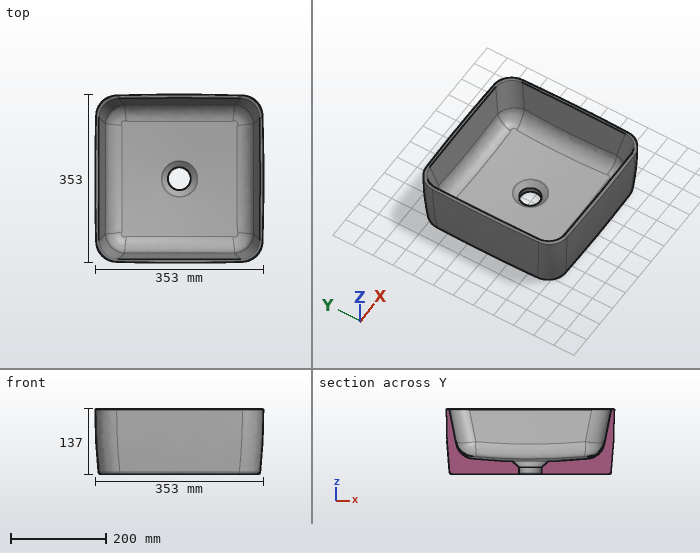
import cadquery as cq
import math

side_length = 353.0
height = 137.0

half_rim = side_length / 2
middle_inset = 1.8
base_inset = 7.5
half_middle = half_rim - middle_inset
half_base = half_rim - base_inset
side_bow_radius = 4234.8
outer_corner_radius = 44.0
base_edge_radius = 6.5

rim_width = 7.0
wall_slope = 0.2
basin_corner_radius = 41.0
basin_bow_radius = 8822.5
floor_center_height = 27.0
floor_edge_rise = 5.5
floor_edge_distance = 120.0
floor_blend_radius = 38.8
rim_outer_edge_radius = 2.8
rim_inner_edge_radius = 2.0

drain_seat_radius = 37.5
floor_rise_at_seat = floor_edge_rise * (drain_seat_radius / floor_edge_distance) ** 2
drain_seat_edge_radius = 1.5
drain_outlet_edge_radius = 3.5
drain_hole_radius = 23.5
drain_seat_base_height = 15.0
drain_seat_top_height = floor_center_height + floor_rise_at_seat
drain_seat_clearance = 7.0


def bowed_square(workplane, half_size, bow_radius, corner_radius):
    """Closed square of four outward-bowed arcs joined by tangent corner arcs."""
    bow_offset = bow_radius - half_size
    center_gap = bow_radius - corner_radius
    corner_center = (math.sqrt(2 * center_gap**2 - bow_offset**2) - bow_offset) / 2
    tangent_angle = math.asin(corner_center / center_gap)
    tangent_x = bow_radius * math.cos(tangent_angle) - bow_offset
    tangent_y = bow_radius * math.sin(tangent_angle)
    corner_mid = corner_center + corner_radius / math.sqrt(2)

    def turned(point, quarter_turns):
        x, y = point
        for _ in range(quarter_turns):
            x, y = -y, x
        return (x, y)

    outline = workplane.moveTo(tangent_x, -tangent_y)
    for quarter in range(4):
        outline = outline.threePointArc(
            turned((half_size, 0), quarter), turned((tangent_x, tangent_y), quarter)
        )
        outline = outline.threePointArc(
            turned((corner_mid, corner_mid), quarter), turned((tangent_y, tangent_x), quarter)
        )
    return outline.close()


def outer_shell():
    """Smooth loft through base, mid-height and rim outlines, rounded along the base."""
    base = bowed_square(cq.Workplane("XY"), half_base, side_bow_radius, outer_corner_radius)
    middle = bowed_square(
        base.workplane(offset=height / 2), half_middle, side_bow_radius, outer_corner_radius
    )
    rim = bowed_square(
        middle.workplane(offset=height / 2), half_rim, side_bow_radius, outer_corner_radius
    )
    return rim.loft(combine=True).faces("<Z").edges().fillet(base_edge_radius)


def basin():
    """Solid filling the basin: sloped walls blended into a shallow spherical floor."""
    half_opening = half_rim - rim_width
    half_bottom = half_opening - wall_slope * height
    bottom = bowed_square(cq.Workplane("XY"), half_bottom, basin_bow_radius, basin_corner_radius)
    opening = bowed_square(
        bottom.workplane(offset=height), half_opening, basin_bow_radius, basin_corner_radius
    )
    walls = opening.loft(ruled=True, combine=True)

    dish_radius = (floor_edge_distance**2 + floor_edge_rise**2) / (2 * floor_edge_rise)
    dish_center = (0, 0, floor_center_height + dish_radius)
    dish = cq.Workplane("XZ").sphere(dish_radius).translate(dish_center)
    return walls.intersect(dish).faces("<Z").edges().fillet(floor_blend_radius)


def drain():
    """Solid of the drain opening, its cone carried past the floor for a clean cut."""
    seat_slope = (drain_seat_top_height - drain_seat_base_height) / (drain_seat_radius - drain_hole_radius)
    cutter_top = drain_seat_top_height + drain_seat_clearance
    cutter_radius = drain_seat_radius + drain_seat_clearance / seat_slope
    return (
        cq.Workplane("XZ")
        .lineTo(drain_hole_radius, 0)
        .lineTo(drain_hole_radius, drain_seat_base_height)
        .lineTo(cutter_radius, cutter_top)
        .lineTo(0, cutter_top)
        .close()
        .revolve(360, (0, 0, 0), (0, 1, 0))
    )


def round_rim(shell):
    """Round both edges of the flat rim, more outside than inside."""
    outer_edges = shell.faces(">Z").val().outerWire().Edges()
    rounded = shell.newObject(outer_edges).fillet(rim_outer_edge_radius)
    inner_edges = rounded.faces(">Z").val().innerWires()[0].Edges()
    return rounded.newObject(inner_edges).fillet(rim_inner_edge_radius)


def round_drain_edges(body):
    """Ease the drain where its seat meets the floor and where its hole leaves the underside."""
    seat_rounded = body.edges("%CIRCLE").edges(">Z").fillet(drain_seat_edge_radius)
    return seat_rounded.edges("%CIRCLE").edges("<Z").fillet(drain_outlet_edge_radius)


hollow_shell = outer_shell().cut(basin())
bowl = round_rim(hollow_shell).cut(drain())
result = round_drain_edges(bowl)